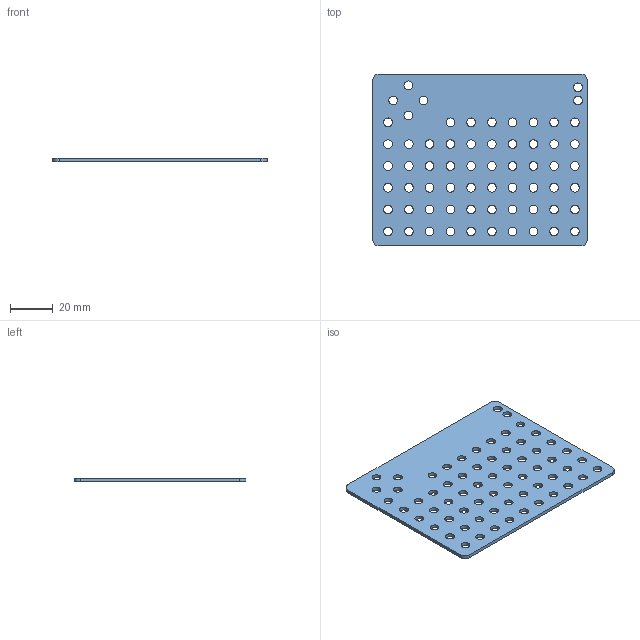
import cadquery as cq

LENGTH = 100.0
WIDTH = 80.13
THICKNESS = 1.6
CORNER_RADIUS = 3.0

HOLE_DIAMETER = 4.06

GRID_COLUMNS = 10
GRID_ROWS = 6
COLUMN_PITCH = 9.67
ROW_PITCH = 10.16
GRID_LEFT = -42.82
GRID_BOTTOM = -33.25
TOP_ROW = GRID_ROWS - 1
TOP_ROW_EMPTY_COLUMNS = (1, 2)

DIAMOND_CENTER_X = -33.4
DIAMOND_CENTER_Y = 27.75
DIAMOND_RADIUS = 7.03

PAIR_X = 45.62
PAIR_TOP_Y = 33.87
PAIR_SPACING = 6.2


def make_plate():
    """Flat plate with rounded corners, its underside at Z = 0."""
    plate = cq.Workplane("XY").rect(LENGTH, WIDTH).extrude(THICKNESS)
    return plate.edges("|Z").fillet(CORNER_RADIUS)


def grid_points():
    """Grid hole centres; the top row leaves room for the diamond."""
    points = []
    for row in range(GRID_ROWS):
        for column in range(GRID_COLUMNS):
            if row == TOP_ROW and column in TOP_ROW_EMPTY_COLUMNS:
                continue
            x = GRID_LEFT + column * COLUMN_PITCH
            y = GRID_BOTTOM + row * ROW_PITCH
            points.append((x, y))
    return points


def diamond_points():
    """Left, right, lower and upper hole centres of the diamond."""
    return [
        (DIAMOND_CENTER_X - DIAMOND_RADIUS, DIAMOND_CENTER_Y),
        (DIAMOND_CENTER_X + DIAMOND_RADIUS, DIAMOND_CENTER_Y),
        (DIAMOND_CENTER_X, DIAMOND_CENTER_Y - DIAMOND_RADIUS),
        (DIAMOND_CENTER_X, DIAMOND_CENTER_Y + DIAMOND_RADIUS),
    ]


def pair_points():
    """Upper and lower hole centres of the pair."""
    return [(PAIR_X, PAIR_TOP_Y), (PAIR_X, PAIR_TOP_Y - PAIR_SPACING)]


def drill(plate, points):
    """Drill a through hole at each point."""
    return plate.faces(">Z").workplane(origin=(0, 0, 0)).pushPoints(points).hole(HOLE_DIAMETER)


result = make_plate()
for hole_points in (grid_points(), diamond_points(), pair_points()):
    result = drill(result, hole_points)